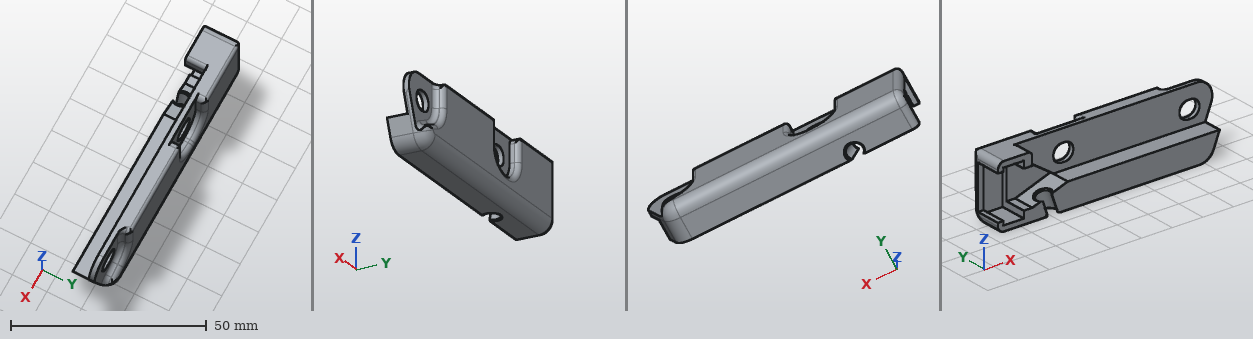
import cadquery as cq
import math

length = 74.4
depth = 10.5
height = 20.0

end_slant = math.radians(21.2)
end_top_radius = 5.1
end_bottom_radius = 5.0

left_radius = 2.0
top_back_radius = 0.9
bottom_back_radius = 3.9

plate_front = 5.95
plate_back = 7.6
rail_height = 8.05

mouth_length = 1.8
mouth_bottom = 3.05
mouth_top = 17.05
mouth_floor = 8.2
pocket_right = 8.4
pocket_bottom = 1.8
pocket_top = 18.15
pocket_floor = 8.7
throat_bottom = 4.0
throat_top = 15.9
throat_floor = 7.1
ramp_start = 11.2
ramp_end = 22.7
head_right = 11.1
head_corner_radius = 1.2

hole_xs = (26.0, 67.0)
hole_z = 13.1
hole_width = 6.5
hole_height = 5.5
recess_radius = 5.95
recess_half_width = recess_radius + (hole_width - hole_height) / 2
recess_mouth_radius = 1.65
end_mouth_radius = 3.0
rim_radius = 1.4
foot_radius = 1.4

drain_radius = 2.2
drain_x = 15.9
drain_y = 1.65
drain_rim = 0.4

clearance = 14.9


def extrude_y(sketch, y_from, y_to):
    """Extrude an XZ profile between two Y positions."""
    return sketch.extrude(-(y_to - y_from)).translate((0, y_from, 0))


def box(x_range, y_range, z_range):
    """Box spanning the given ranges."""
    (x0, x1), (y0, y1), (z0, z1) = x_range, y_range, z_range
    return cq.Workplane("XY").box(x1 - x0, y1 - y0, z1 - z0, centered=False).translate((x0, y0, z0))


end_top_x = length - end_top_radius + end_top_radius / math.tan((math.pi / 2 - end_slant) / 2)
end_bottom_x = end_top_x - height * math.tan(end_slant)


def corner(x, y, z):
    """Select the edge nearest to a point."""
    return cq.selectors.NearestToPointSelector((x, y, z))


def make_body():
    """Solid blank: the outline in XZ, with its back edges rounded on every side."""
    outline = [(0, 0), (end_bottom_x, 0), (end_top_x, height), (0, height)]
    block = extrude_y(cq.Workplane("XZ").polyline(outline).close(), 0, depth)
    block = block.edges(corner(end_bottom_x, depth / 2, 0)).fillet(end_bottom_radius)

    round_back = block.edges(corner(length / 2, depth, 0)).fillet(bottom_back_radius)

    round_left = round_back.faces("<X").edges("not <Y").fillet(left_radius)

    block = block.edges(corner(end_top_x, depth / 2, height)).fillet(end_top_radius)
    top_rounded = box((0, end_top_x), (0, depth), (0, height)).edges(">Z and >Y").fillet(top_back_radius)
    return block.intersect(round_left).intersect(top_rounded)


def cut_front(body):
    """Clear the space in front of the plate, leaving the left head and the lower rail."""
    far = length + clearance
    window = box((head_right, far), (-clearance, plate_front), (rail_height, height + clearance))
    funnel_points = [
        (pocket_right, throat_bottom),
        (ramp_start, throat_bottom),
        (ramp_end, rail_height),
        (head_right, throat_top),
        (pocket_right, throat_top),
    ]
    funnel = extrude_y(cq.Workplane("XZ").polyline(funnel_points).close(), -clearance, throat_floor)
    pocket = box((mouth_length, pocket_right), (-clearance, pocket_floor), (pocket_bottom, pocket_top))
    mouth = box((-clearance, mouth_length), (-clearance, mouth_floor), (mouth_bottom, mouth_top))
    body = body.cut(window)
    head_corner = corner(head_right, plate_front / 2, height)
    body = body.edges(head_corner).fillet(head_corner_radius)
    return body.cut(funnel).cut(pocket).cut(mouth)


def recess_channel(center_x, angle, reach, mouth_radius=recess_mouth_radius):
    """Channel leaving a hole centre in a direction turned by angle from +Z towards +X.

    Its sides flare out in quarter rounds at the given distance from the centre.
    """
    half = recess_half_width
    flared = half + mouth_radius
    start = reach - mouth_radius
    bulge = mouth_radius * (1 - math.sqrt(0.5))
    profile = (
        cq.Workplane("XZ")
        .moveTo(-half, 0)
        .lineTo(-half, start)
        .threePointArc((-half - bulge, reach - bulge), (-flared, reach))
        .lineTo(-flared, reach + clearance)
        .lineTo(flared, reach + clearance)
        .lineTo(flared, reach)
        .threePointArc((half + bulge, reach - bulge), (half, start))
        .lineTo(half, 0)
        .close()
    )
    channel = extrude_y(profile, plate_back, depth + clearance)
    channel = channel.rotate((0, 0, 0), (0, 1, 0), math.degrees(angle))
    return channel.translate((center_x, 0, hole_z))


def recess_seat(center_x):
    """Obround end of a recess around a screw hole."""
    seat = cq.Workplane("XZ").center(center_x, hole_z).slot2D(2 * recess_half_width, 2 * recess_radius)
    return extrude_y(seat, plate_back, depth + clearance)


def end_seat(center_x):
    """Round end of the recess that has two channels, tangent to both."""
    seat = cq.Workplane("XZ").center(center_x, hole_z).circle(recess_half_width)
    return extrude_y(seat, plate_back, depth + clearance)


def rim_cutter(center_x, straight_recess):
    """Straight-sided recess whose rim flares out in a convex round at the back face."""
    span = 2 * clearance
    slab = box((center_x - span, center_x + span), (plate_back, depth), (hole_z - span, hole_z + span))
    left_wall = corner(center_x - recess_half_width, depth, hole_z + clearance / 2)
    rounded = slab.cut(straight_recess).edges(left_wall).fillet(rim_radius)
    return slab.cut(rounded)


def cut_recesses(body):
    """Recess the back around both screw holes; the end recess also opens through the slanted end."""
    first_x, end_x = hole_xs
    top_reach = height - hole_z
    end_angle = math.pi / 2 + end_slant
    edge_x = end_bottom_x + hole_z * math.tan(end_slant)
    end_reach = (edge_x - end_x) * math.cos(end_slant)

    first_straight = recess_seat(first_x).union(recess_channel(first_x, 0, 2 * clearance))
    first_mouth = recess_channel(first_x, 0, top_reach)

    far = 2 * clearance
    end_corner = box((end_x, end_x + far), (plate_back, depth + clearance), (hole_z, hole_z + far))
    end_base = end_seat(end_x).union(end_corner)
    end_straight = end_base.union(recess_channel(end_x, 0, far)).union(recess_channel(end_x, end_angle, far))
    end_open = end_base.union(recess_channel(end_x, 0, top_reach))
    end_open = end_open.union(recess_channel(end_x, end_angle, end_reach, end_mouth_radius))
    left_foot = corner(end_x - recess_half_width, plate_back, hole_z + top_reach / 2)
    end_open = end_open.edges(left_foot).fillet(foot_radius)
    end_rim = rim_cutter(end_x, end_straight.edges(left_foot).fillet(foot_radius))
    for cutter in (rim_cutter(first_x, first_straight), first_mouth, end_rim, end_open):
        body = body.cut(cutter)
    return body


def cut_screw_holes(body):
    """Through holes with flat sides joined by corner arcs."""
    for center_x in hole_xs:
        slot = cq.Workplane("XZ").center(center_x, hole_z).slot2D(hole_width, hole_height)
        body = body.cut(extrude_y(slot, 0, depth))
    return body


def cut_drain(body):
    """Inclined hole that breaks out through the open front of the rail."""
    ramp_angle = math.atan2(rail_height - throat_bottom, ramp_end - ramp_start)
    ramp_z = throat_bottom + (drain_x - ramp_start) * math.tan(ramp_angle)
    bore_length = ramp_z / math.cos(ramp_angle)
    wide = drain_radius + drain_rim
    profile = [
        (0, 0),
        (wide, 0),
        (drain_radius, -drain_rim),
        (drain_radius, -bore_length - clearance),
        (0, -bore_length - clearance),
    ]
    bore = cq.Workplane("XZ").polyline(profile).close().revolve(360, (0, 0, 0), (0, 1, 0))
    bore = bore.rotate((0, 0, 0), (0, 1, 0), -math.degrees(ramp_angle))
    body = body.cut(bore.translate((drain_x, drain_y, ramp_z)))
    outlet_x = drain_x + ramp_z * math.tan(ramp_angle)
    return body.edges(corner(outlet_x, drain_y + drain_radius, 0)).chamfer(drain_rim)


result = cut_drain(cut_screw_holes(cut_recesses(cut_front(make_body()))))